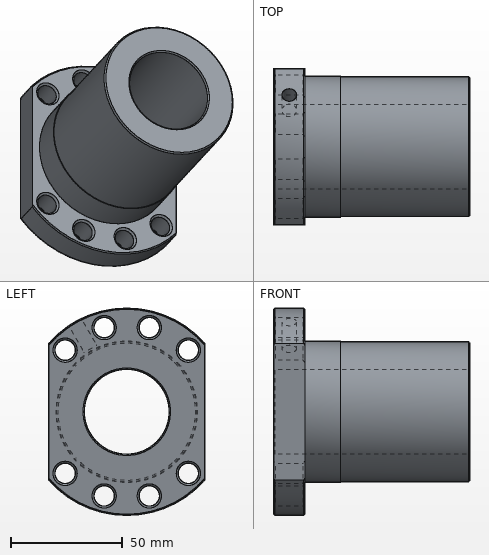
import cadquery as cq
import math

flange_diameter = 93.0
flange_width = 70.0
flange_thickness = 14.0
flange_chamfer = 0.6

total_length = 88.0
pilot_diameter = 63.4
pilot_end = 30.0
body_diameter = 62.9
body_chamfer = 0.65

bore_diameter = 37.9
bore_chamfer = 0.65

bolt_circle_diameter = 78.1
bolt_hole_diameter = 9.0
bolt_hole_chamfer = 0.9
bolt_angles = [45, 75, 105, 135, 225, 255, 285, 315]

oil_hole_diameter = 6.5
oil_hole_tilt = 30.0
oil_hole_depth = 13.95


def cylinder(diameter, start, end):
    """Solid cylinder along X between two stations."""
    return cq.Workplane("YZ", origin=(start, 0, 0)).circle(diameter / 2).extrude(end - start)


def make_flange():
    """Round flange with both rims chamfered and two flats facing Y."""
    disc = cylinder(flange_diameter, 0, flange_thickness).edges("%CIRCLE").chamfer(flange_chamfer)
    flats = cq.Workplane("XY").box(3 * flange_thickness, flange_width, 2 * flange_diameter)
    return disc.intersect(flats)


def make_barrel():
    """Pilot and main body, chamfered at the free end."""
    pilot = cylinder(pilot_diameter, 0, pilot_end)
    body = cylinder(body_diameter, 0, total_length).faces(">X").chamfer(body_chamfer)
    return pilot.union(body)


def chamfered_hole(diameter, length, chamfer):
    """Cutter along X from the flange face, widened by a chamfer at both ends."""
    hole = cylinder(diameter, 0, length)
    wide_radius = diameter / 2 + chamfer
    cone = cq.Solid.makeCone(wide_radius, diameter / 2, chamfer, dir=cq.Vector(1, 0, 0))
    far_cone = cone.mirror("YZ").translate(cq.Vector(length, 0, 0))
    return hole.union(cq.Workplane(cone)).union(cq.Workplane(far_cone))


def make_oil_hole():
    """Blind radial cutter entering the rim at mid-thickness."""
    tilt = math.radians(oil_hole_tilt)
    outward = cq.Vector(0, math.sin(tilt), math.cos(tilt))
    rim_radius = flange_diameter / 2
    start = outward * rim_radius + cq.Vector(flange_thickness / 2, 0, 0)
    return cq.Workplane(cq.Solid.makeCylinder(oil_hole_diameter / 2, oil_hole_depth, start, outward * -1))


result = make_flange().union(make_barrel())
result = result.cut(chamfered_hole(bore_diameter, total_length, bore_chamfer))

bolt_hole = chamfered_hole(bolt_hole_diameter, flange_thickness, bolt_hole_chamfer)
for angle in bolt_angles:
    radians = math.radians(angle)
    y = bolt_circle_diameter / 2 * math.cos(radians)
    z = bolt_circle_diameter / 2 * math.sin(radians)
    result = result.cut(bolt_hole.translate((0, y, z)))

result = result.cut(make_oil_hole())